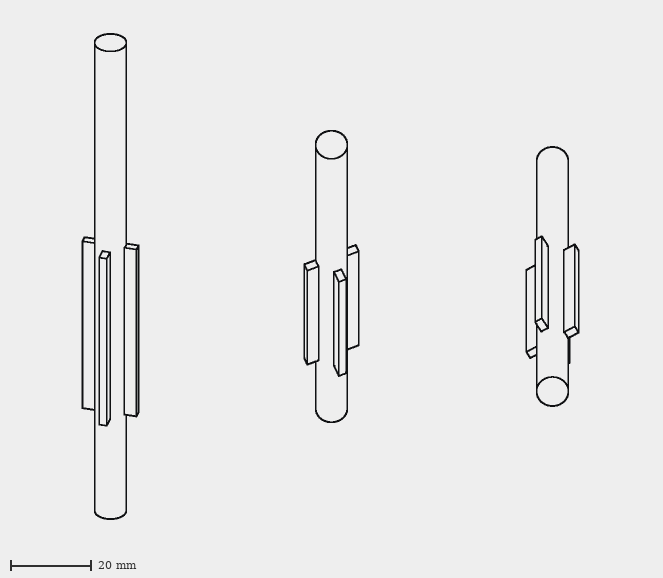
import cadquery as cq

rod_length = 140.0
rod_diameter = 8.0
rod_sides = 90

fin_span = 14.0
fin_thickness = 2.0
fin_length = 50.0
fin_bottom = 30.0


def make_rod():
    """Faceted rod along Z, with one corner on the +X axis."""
    return cq.Workplane("XY").polygon(rod_sides, rod_diameter).extrude(rod_length)


def make_fin_pair(angle):
    """Flat plate through the rod axis, forming two opposite fins."""
    plate = (
        cq.Workplane("XY")
        .workplane(offset=fin_bottom)
        .rect(fin_span, fin_thickness)
        .extrude(fin_length)
    )
    return plate.rotate((0, 0, 0), (0, 0, 1), angle)


result = make_rod()
for fin_angle in (0, 90):
    result = result.union(make_fin_pair(fin_angle))